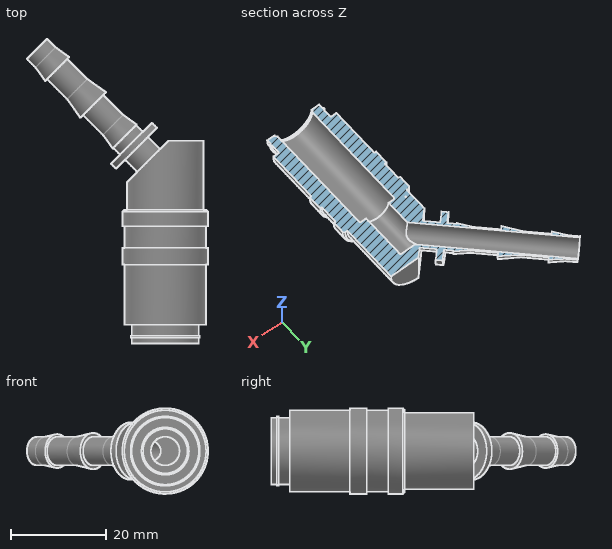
import cadquery as cq
import math

body_length = 42.5
collar_radius = 7.0
collar_length = 3.9
ring_radius = 7.3
ring_start = 1.2
ring_end = 1.65
sleeve_radius = 8.55
band_radius = 9.0
lower_band_start = 16.55
lower_band_end = 20.05
upper_band_start = 24.55
upper_band_end = 28.0
band_chamfer = 0.4
neck_radius = 8.05

socket_radius = 4.65
socket_chamfer = 0.3
socket_depth = upper_band_end
passage_radius = 3.0
passage_depth = 39.4

stem_angle = math.radians(45)
stem_axis_crossing = 34.9
seat_distance = 4.9
stem_length = 33.1
stem_root_radius = 3.4
tube_radius = 3.0
stem_bore_radius = 2.55
flange_radius = 6.1
flange_start = 3.6
flange_end = 5.1
barb_radius = 3.6
middle_barb_radius = 3.85
root_barb_start = 7.1
root_barb_end = 10.6
middle_barb_start = 16.4
middle_barb_end = 21.2
tip_barb_start = 27.1
tip_barb_end = 30.6

stem_direction = cq.Vector(-math.sin(stem_angle), math.cos(stem_angle), 0)
stem_origin = cq.Vector(0, stem_axis_crossing, 0)
seat_centre = stem_origin + stem_direction * seat_distance


def body_cylinder(radius, start, end):
    """Cylinder about the Y axis between two Y positions."""
    disc = cq.Workplane("XZ", origin=(0, start, 0)).circle(radius)
    return disc.extrude(start - end)


def stem_plane(distance):
    """Plane across the stem, at a distance beyond the body axis."""
    origin = stem_origin + stem_direction * distance
    return cq.Plane(origin=origin, xDir=(0, 0, 1), normal=stem_direction)


def stem_cylinder(radius, start, end):
    """Cylinder along the stem, between distances from the body axis."""
    return cq.Workplane(stem_plane(start)).circle(radius).extrude(end - start)


def make_body():
    body = body_cylinder(collar_radius, 0, collar_length)
    body = body.union(body_cylinder(ring_radius, ring_start, ring_end))
    body = body.union(body_cylinder(sleeve_radius, collar_length, upper_band_start))
    body = body.union(body_cylinder(band_radius, lower_band_start, lower_band_end))
    upper_band = body_cylinder(band_radius, upper_band_start, upper_band_end)
    body = body.union(upper_band.faces(">Y").chamfer(band_chamfer))
    return body.union(body_cylinder(neck_radius, upper_band_end, body_length))


def cut_seat(body):
    """Slice the body's corner off square to the stem."""
    cutter = cq.Workplane(stem_plane(seat_distance)).rect(body_length, body_length)
    return body.cut(cutter.extrude(body_length))


def make_stem():
    """Turn the hose stem from its (radius, distance from the seat) outline."""
    root = -stem_root_radius
    profile = [
        (0, root),
        (stem_root_radius, root),
        (stem_root_radius, flange_start),
        (flange_radius, flange_start),
        (flange_radius, flange_end),
        (stem_root_radius, flange_end),
        (stem_root_radius, root_barb_start),
        (barb_radius, root_barb_start),
        (tube_radius, root_barb_end),
        (tube_radius, middle_barb_start),
        (middle_barb_radius, middle_barb_start),
        (tube_radius, middle_barb_end),
        (tube_radius, tip_barb_start),
        (barb_radius, tip_barb_start),
        (tube_radius, tip_barb_end),
        (tube_radius, stem_length),
        (0, stem_length),
    ]
    across = cq.Vector(0, 0, 1)
    plane = cq.Plane(origin=seat_centre, xDir=across, normal=across.cross(stem_direction))
    return cq.Workplane(plane).polyline(profile).close().revolve(360, (0, 0), (0, 1))


def make_bores():
    socket = body_cylinder(socket_radius, 0, socket_depth)
    mouth = cq.Workplane("XZ").circle(socket_radius + socket_chamfer)
    mouth = mouth.extrude(-2 * socket_chamfer).faces(">Y").chamfer(socket_chamfer)
    passage = body_cylinder(passage_radius, 0, passage_depth)
    stem_bore = stem_cylinder(stem_bore_radius, 0, seat_distance + stem_length)
    return socket.union(mouth).union(passage).union(stem_bore)


result = cut_seat(make_body()).union(make_stem()).cut(make_bores())